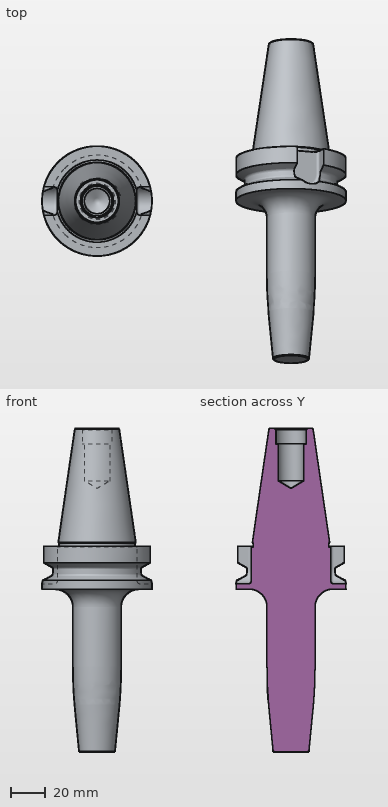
import cadquery as cq
import math

total_height = 185.4
gauge_height = 120.0
flange_top = 118.0
flange_bottom = 93.0

taper_ratio = 7 / 24
gauge_radius = 22.2
taper_top_radius = gauge_radius - taper_ratio * (total_height - gauge_height) / 2
taper_top_chamfer = 0.5
relief_radius = 21.9
relief_ring_radius = 23.5
relief_depth = 0.5

flange_radius = 31.5
groove_radius = 26.5
groove_upper_edge = 108.3
groove_lower_edge = 98.3
groove_wall_rise = (flange_radius - groove_radius) * math.tan(math.radians(30))
groove_fillet = 1.3

stem_radius = 13.9
stem_fillet = 10.0
blend_top = 49.0
blend_bottom = 27.3
blend_bottom_radius = 13.0
tip_radius = 10.4
tip_chamfer = 0.5

slot_width = 16.1
slot_bottom = 96.5
slot_floor_distance = 22.8
slot_floor_fillet = 1.7
slot_cutter_overrun = 1.9

bore_radius = 8.5
bore_chamfer = 1.0
bore_depth = 9.0
pilot_radius = 7.2
pilot_depth = 30.0
drill_point_angle = 118


def make_body():
    """Revolve the outer outline of stem, flange and taper about Z."""
    relief_floor = flange_top - relief_depth
    relief_top = gauge_height - (gauge_radius - relief_radius)
    fillet_center_radius = stem_radius + stem_fillet
    fillet_center_height = flange_bottom - stem_fillet
    fillet_offset = stem_fillet * math.sqrt(0.5)
    blend_height = blend_top - blend_bottom
    blend_inset = stem_radius - blend_bottom_radius
    blend_arc_radius = (blend_height**2 + blend_inset**2) / (2 * blend_inset)
    blend_mid_inset = blend_arc_radius - math.sqrt(blend_arc_radius**2 - (blend_height / 2) ** 2)
    outline = (
        cq.Workplane("XZ")
        .lineTo(tip_radius - tip_chamfer, 0)
        .lineTo(tip_radius, tip_chamfer)
        .lineTo(blend_bottom_radius, blend_bottom)
        .threePointArc(
            (stem_radius - blend_mid_inset, (blend_top + blend_bottom) / 2),
            (stem_radius, blend_top),
        )
        .lineTo(stem_radius, fillet_center_height)
        .threePointArc(
            (fillet_center_radius - fillet_offset, fillet_center_height + fillet_offset),
            (fillet_center_radius, flange_bottom),
        )
        .lineTo(flange_radius, flange_bottom)
        .lineTo(flange_radius, groove_lower_edge)
        .lineTo(groove_radius, groove_lower_edge + groove_wall_rise)
        .lineTo(groove_radius, groove_upper_edge - groove_wall_rise)
        .lineTo(flange_radius, groove_upper_edge)
        .lineTo(flange_radius, flange_top)
        .lineTo(relief_ring_radius, flange_top)
        .lineTo(relief_ring_radius, relief_floor)
        .lineTo(relief_radius, relief_floor)
        .lineTo(relief_radius, relief_top)
        .lineTo(gauge_radius, gauge_height)
        .lineTo(taper_top_radius, total_height)
        .lineTo(0, total_height)
        .close()
    )
    body = outline.revolve(360, (0, 0, 0), (0, 1, 0))
    groove_corners = cq.selectors.BoxSelector(
        (-flange_radius, -flange_radius, groove_lower_edge + groove_wall_rise / 2),
        (flange_radius, flange_radius, groove_upper_edge - groove_wall_rise / 2),
        boundingbox=False,
    )
    body = body.edges(groove_corners).edges("%CIRCLE").fillet(groove_fillet)
    return body.faces(">Z").edges().chamfer(taper_top_chamfer)


def make_slot_cutter():
    """Round-bottomed drive slot on the +X side, with its floor edge filleted."""
    half_width = slot_width / 2
    arc_center = slot_bottom + half_width
    cutter_top = gauge_height + slot_cutter_overrun
    return (
        cq.Workplane("YZ", origin=(slot_floor_distance, 0, 0))
        .moveTo(-half_width, cutter_top)
        .lineTo(-half_width, arc_center)
        .threePointArc((0, slot_bottom), (half_width, arc_center))
        .lineTo(half_width, cutter_top)
        .close()
        .extrude(flange_radius - slot_floor_distance + slot_cutter_overrun)
        .faces("<X").edges("not >Z").fillet(slot_floor_fillet)
    )


def make_bore():
    """Chamfered counterbore, narrower pilot hole and conical drill point."""
    pilot_floor = total_height - pilot_depth
    point_length = pilot_radius / math.tan(math.radians(drill_point_angle / 2))
    return (
        cq.Workplane("XZ")
        .moveTo(0, total_height)
        .lineTo(bore_radius + bore_chamfer, total_height)
        .lineTo(bore_radius, total_height - bore_chamfer)
        .lineTo(bore_radius, total_height - bore_depth)
        .lineTo(pilot_radius, total_height - bore_depth)
        .lineTo(pilot_radius, pilot_floor)
        .lineTo(0, pilot_floor - point_length)
        .close()
        .revolve(360, (0, 0, 0), (0, 1, 0))
    )


result = make_body().cut(make_bore())
for angle in (0, 180):
    result = result.cut(make_slot_cutter().rotate((0, 0, 0), (0, 0, 1), angle))